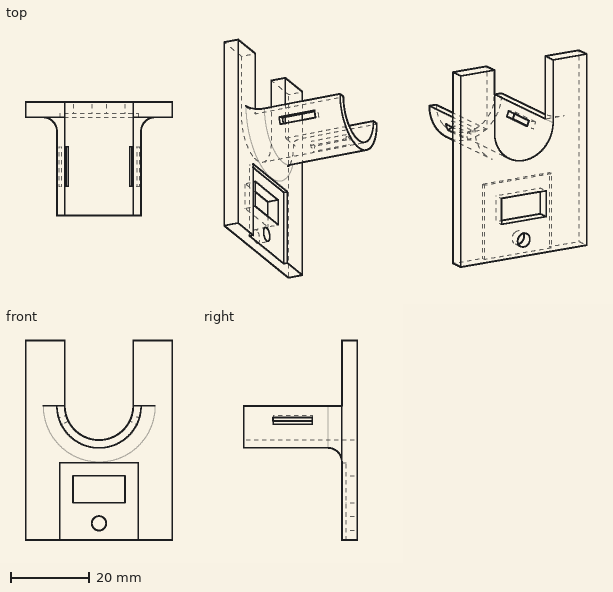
import cadquery as cq
import math

plate_width = 37.5
plate_height = 51.0
plate_thickness = 4.0
total_depth = 29.0

cradle_axis_z = 34.25
bore_radius = 8.7
cradle_radius = 10.75
root_fillet = 3.5
flare_radius = cradle_radius + root_fillet

slot_length = 10.0
slot_end_gap = 7.5
slot_top_angle = 16.2
slot_bottom_angle = 26.2

recess_width = 20.0
recess_height = 19.8
recess_depth = 1.0
window_width = 13.2
window_height = 6.9
window_bottom = 9.55
hole_diameter = 3.6
hole_z = 4.3


def box(width, y_front, y_back, z_bottom, z_top):
    """Block centred on X = 0 between the given Y and Z limits."""
    size = (width, y_back - y_front, z_top - z_bottom)
    return cq.Workplane("XY").box(*size, centered=(True, False, False)).translate((0, y_front, z_bottom))


def rod(radius, z):
    """Cylinder along Y, through the full depth of the part."""
    return cq.Workplane("XZ").center(0, z).circle(radius).extrude(total_depth)


def make_cradle():
    """Lower half of a round bar whose root flares into the plate."""
    plate_front = -plate_thickness
    fillet_start = plate_front - root_fillet
    diagonal = root_fillet * 0.5 ** 0.5
    profile = (
        cq.Workplane("XY")
        .moveTo(0, plate_front)
        .lineTo(flare_radius, plate_front)
        .threePointArc(
            (flare_radius - diagonal, fillet_start + diagonal),
            (cradle_radius, fillet_start),
        )
        .lineTo(cradle_radius, -total_depth)
        .lineTo(0, -total_depth)
        .close()
    )
    flared_bar = profile.revolve(360, (0, 0, 0), (0, 1, 0)).translate((0, 0, cradle_axis_z))
    lower_half = box(plate_width, -total_depth, 0, 0, cradle_axis_z)
    return flared_bar.intersect(lower_half)


def make_slot(side):
    """Wedge from the cradle axis through one wall; side is -1 for -X and 1 for +X."""
    reach = flare_radius

    def edge_point(angle):
        radians = math.radians(angle)
        return (side * reach * math.cos(radians), cradle_axis_z - reach * math.sin(radians))

    outline = [(0, cradle_axis_z), edge_point(slot_top_angle), edge_point(slot_bottom_angle)]
    wedge = cq.Workplane("XZ").polyline(outline).close().extrude(slot_length)
    return wedge.translate((0, slot_end_gap + slot_length - total_depth, 0))


plate = box(plate_width, -plate_thickness, 0, 0, plate_height)
recess = box(recess_width, -plate_thickness, recess_depth - plate_thickness, 0, recess_height)
window = box(window_width, -plate_thickness, 0, window_bottom, window_bottom + window_height)
bore_opening = box(2 * bore_radius, -plate_thickness, 0, cradle_axis_z, plate_height)

result = (
    plate.cut(recess)
    .union(make_cradle())
    .cut(bore_opening)
    .cut(rod(bore_radius, cradle_axis_z))
    .cut(make_slot(-1))
    .cut(make_slot(1))
    .cut(window)
    .cut(rod(hole_diameter / 2, hole_z))
)